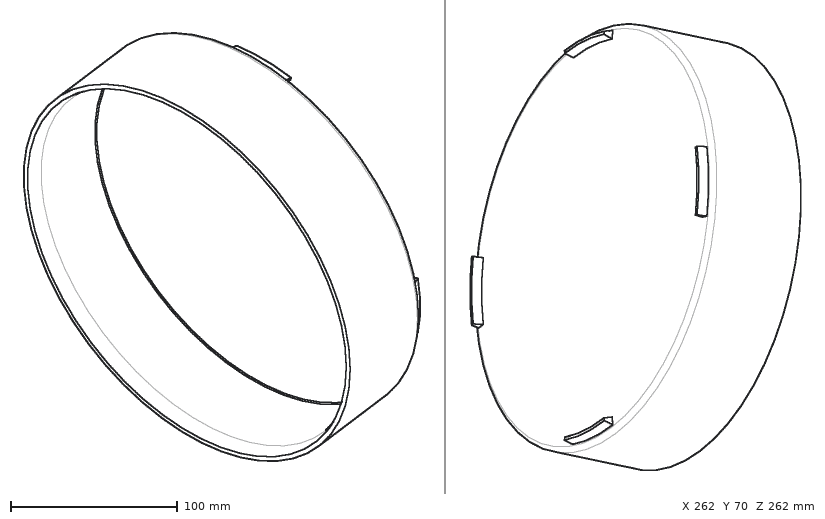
import cadquery as cq

outer_radius = 131.0
body_depth = 64.0
tab_height = 6.0
rim_width = 3.1
back_edge_radius = 3.1
floor_thickness = 5.0

lip_depth = 9.7
lip_base_thickness = 5.2
wall_base_thickness = 5.8
floor_bevel = 0.8

tab_angle = 20.0
tab_outer_base_radius = 127.0
tab_outer_tip_radius = 125.5
tab_inner_tip_radius = 123.7
tab_inner_base_radius = 121.8
tab_count = 4

back_y = body_depth
floor_y = back_y - floor_thickness
tip_y = back_y + tab_height


def make_body():
    """Revolve the cup about the Y axis and round its back outer edge."""
    mouth_radius = outer_radius - rim_width
    base_radius = outer_radius - wall_base_thickness
    profile = [
        (0, back_y),
        (outer_radius, back_y),
        (outer_radius, 0),
        (mouth_radius, 0),
        (outer_radius - lip_base_thickness, lip_depth),
        (base_radius, floor_y - floor_bevel),
        (base_radius - floor_bevel, floor_y),
        (0, floor_y),
    ]
    cup = cq.Workplane("XY").polyline(profile).close().revolve(360, (0, 0), (0, 1))
    return cup.faces(">Y").edges().fillet(back_edge_radius)


def make_tab():
    """Sweep one tab, centred on +X, part of a turn about the Y axis."""
    root_y = back_y - floor_thickness / 2
    profile = [
        (tab_inner_base_radius, root_y),
        (tab_outer_base_radius, root_y),
        (tab_outer_base_radius, back_y),
        (tab_outer_tip_radius, tip_y),
        (tab_inner_tip_radius, tip_y),
        (tab_inner_base_radius, back_y),
    ]
    sector = cq.Workplane("XY").polyline(profile).close().revolve(tab_angle, (0, 0), (0, 1))
    return sector.rotate((0, 0, 0), (0, 1, 0), -tab_angle / 2)


result = make_body()
tab = make_tab()
for index in range(tab_count):
    angle = index * 360 / tab_count
    result = result.union(tab.rotate((0, 0, 0), (0, 1, 0), angle))